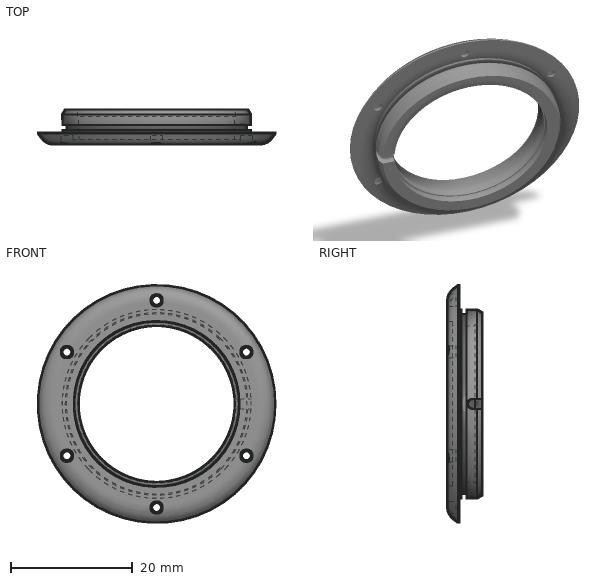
import cadquery as cq
import math


flange_radius = 19.5
flange_back = 2.0
rim_width = 0.2
cone_front_radius = 18.8
cone_front = 0.9
front_face_radius = 16.8

total_depth = 5.8
spigot_radius = 15.5
groove_radius = 14.8
groove_front = 2.4
groove_back = 3.2
lead_in_height = 0.5
lead_in_angle = 30
lead_in_depth = lead_in_height / math.tan(math.radians(lead_in_angle))

bore_radius = 12.8
recess_radius = 13.5
recess_depth = 0.85
recess_chamfer = 0.1
back_recess_radius = 13.0
back_recess_depth = 1.2

hole_count = 6
hole_circle_radius = 17.0
hole_diameter = 1.5
hole_mouth_diameter = 2.0
hole_mouth_depth = 1.5

notch_width = 1.6
notch_depth = 2.4
notch_outer_radius = 16.0


def make_ring():
    """Revolve the ring's cross-section, drawn as (radius, Y), about the Y axis."""
    nose_width = cone_front_radius - front_face_radius
    nose_radius = (nose_width**2 + cone_front**2) / (2 * cone_front)
    half_angle = math.asin(nose_width / nose_radius) / 2
    nose_middle = (
        front_face_radius + nose_radius * math.sin(half_angle),
        nose_radius * (1 - math.cos(half_angle)),
    )
    return (
        cq.Workplane("XY")
        .moveTo(recess_radius + recess_chamfer, 0)
        .lineTo(front_face_radius, 0)
        .threePointArc(nose_middle, (cone_front_radius, cone_front))
        .lineTo(flange_radius, flange_back - rim_width)
        .lineTo(flange_radius, flange_back)
        .lineTo(spigot_radius, flange_back)
        .lineTo(spigot_radius, groove_front)
        .lineTo(groove_radius, groove_front)
        .lineTo(groove_radius, groove_back)
        .lineTo(spigot_radius, groove_back)
        .lineTo(spigot_radius, total_depth - lead_in_depth)
        .lineTo(spigot_radius - lead_in_height, total_depth)
        .lineTo(back_recess_radius, total_depth)
        .lineTo(back_recess_radius, total_depth - back_recess_depth)
        .lineTo(bore_radius, total_depth - back_recess_depth)
        .lineTo(bore_radius, recess_depth)
        .lineTo(recess_radius, recess_depth)
        .lineTo(recess_radius, recess_chamfer)
        .close()
        .revolve(360, (0, 0, 0), (0, 1, 0))
    )


def make_screw_hole(angle):
    """Through hole with a wider mouth at the front, placed at an angle from +X."""
    hole_profile = (
        cq.Workplane("XY")
        .lineTo(hole_mouth_diameter / 2, 0)
        .lineTo(hole_mouth_diameter / 2, hole_mouth_depth)
        .lineTo(hole_diameter / 2, hole_mouth_depth)
        .lineTo(hole_diameter / 2, flange_back)
        .lineTo(0, flange_back)
        .close()
    )
    hole = hole_profile.revolve(360, (0, 0, 0), (0, 1, 0))
    return hole.translate((hole_circle_radius, 0, 0)).rotate((0, 0, 0), (0, 1, 0), -angle)


def make_notch():
    """Radial slot with a half-round floor, open to the bore and the back face."""
    notch_radius = notch_width / 2
    arc_start = total_depth - notch_depth + notch_radius
    return (
        cq.Workplane("YZ")
        .moveTo(total_depth, -notch_radius)
        .lineTo(arc_start, -notch_radius)
        .threePointArc((total_depth - notch_depth, 0), (arc_start, notch_radius))
        .lineTo(total_depth, notch_radius)
        .close()
        .extrude(notch_outer_radius)
    )


result = make_ring()
for index in range(hole_count):
    result = result.cut(make_screw_hole(90 + index * 360 / hole_count))
result = result.cut(make_notch())